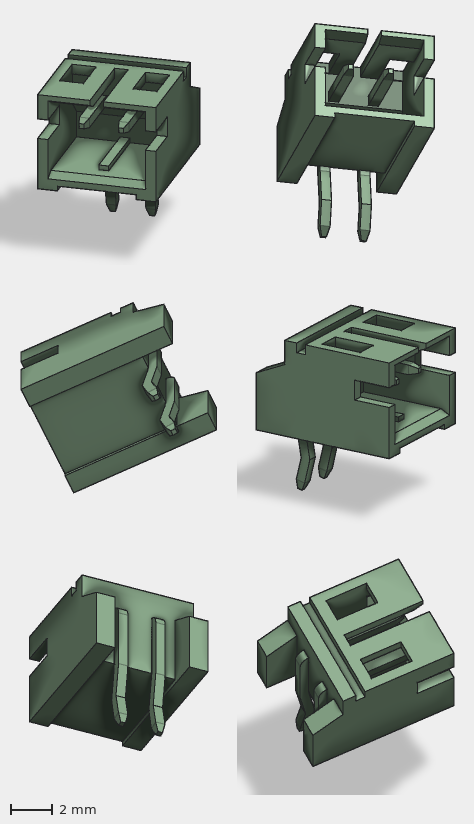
import cadquery as cq
import math


width = 6.0
depth = 7.7
total_height = 8.38
body_height = 4.96
pin_drop = total_height - body_height

back_face = 6.05
side_wall = 0.53
roof_wall = 0.52
floor_top = 0.84
lip_length = 0.5
lip_height = 0.25

upper_wall_y = 4.31
wall_step = 0.67
ramp_top = 2.86

leg_width = 1.0
leg_top_front = 3.7
leg_top_rear = 2.96
recess_height = 0.25

notch_depth = 1.995
notch_bottom = 2.66
notch_top = 3.68
groove_front = 4.85
groove_size = 0.5
key_slot_width = 0.68
window_front = 2.02
window_back = 4.22
window_width = 1.215
rib_width = 0.5
rib_height = 0.25
rib_front = 1.22

pin_pitch = 2.0
pin_size = 0.5
pin_level = 3.22
tip_length = 0.5
tip_size = 0.25
pin_front = 0.79
pin_inner_y = 6.0
kink_shift = 0.29
kink_drop = 1.69
lower_tilt = math.radians(13.5)


def box(x_size, y_start, y_end, z_start, z_end, x_center=0):
    """Block centred on x_center and spanning the given Y and Z ranges."""
    size = (x_size, y_end - y_start, z_end - z_start)
    return cq.Workplane("XY").box(*size, centered=(True, False, False)).translate((x_center, y_start, z_start))


def side_profile(points, x_size):
    """Extrude a closed (Y, Z) outline symmetrically about X = 0."""
    return cq.Workplane("YZ").polyline(points).close().extrude(x_size / 2, both=True)


def make_block():
    """Main block with its two sloped-top rear legs and the recess underneath."""
    outline = [
        (0, 0),
        (depth, 0),
        (depth, leg_top_rear),
        (back_face, leg_top_front),
        (back_face, body_height),
        (0, body_height),
    ]
    span = width - 2 * leg_width
    block = side_profile(outline, width)
    block = block.cut(box(span, back_face, depth, 0, body_height))
    return block.cut(box(span, 0, depth, 0, recess_height))


def make_cavity():
    """Mating cavity with a bevelled mouth and a stepped back wall."""
    ceiling = body_height - roof_wall
    lower_wall_y = upper_wall_y + wall_step
    outline = [
        (0, floor_top - lip_height),
        (lip_length, floor_top),
        (lower_wall_y, floor_top),
        (lower_wall_y, ramp_top - wall_step),
        (upper_wall_y, ramp_top),
        (upper_wall_y, ceiling),
        (lip_length, ceiling),
        (0, ceiling + lip_height),
    ]
    return side_profile(outline, width - 2 * side_wall)


def make_housing(pins):
    housing = make_block().cut(make_cavity())

    housing = housing.cut(box(width, 0, notch_depth, notch_bottom, notch_top))

    housing = housing.cut(
        box(width, groove_front, groove_front + groove_size, body_height - groove_size, body_height)
    )

    housing = housing.cut(box(key_slot_width, 0, upper_wall_y, body_height - roof_wall, body_height))

    window_x = width / 2 - side_wall - window_width / 2
    for x in (-window_x, window_x):
        housing = housing.cut(
            box(window_width, window_front, window_back, body_height - roof_wall, body_height, x)
        )

    housing = housing.union(
        box(rib_width, rib_front, upper_wall_y + wall_step, floor_top, floor_top + rib_height)
    )

    for pin in pins:
        housing = housing.cut(pin)
    return housing


def make_tip(base_center, direction):
    """Square tip tapering from base_center along direction, a (Y, Z) unit vector."""
    plane = cq.Plane(origin=(0, *base_center), xDir=(1, 0, 0), normal=(0, *direction))
    return (
        cq.Workplane(plane)
        .rect(pin_size, pin_size)
        .workplane(offset=tip_length)
        .rect(tip_size, tip_size)
        .loft()
    )


def make_pin(x):
    """Bent pin: horizontal arm, rounded bend, kinked leg and a tapered tip at each end."""
    half = pin_size / 2
    arm_front = pin_front + tip_length
    arm_bottom = pin_level - half
    arm_top = pin_level + half
    outer_y = pin_inner_y + pin_size
    kink_y = pin_inner_y - kink_shift
    sin_tilt = math.sin(lower_tilt)
    cos_tilt = math.cos(lower_tilt)

    tip_end_z = -pin_drop + tip_size / 2 * sin_tilt
    leg_end_z = tip_end_z + tip_length * cos_tilt
    leg_end_y = kink_y + half + (-kink_drop - leg_end_z) * math.tan(lower_tilt)

    bend_middle = (
        pin_inner_y + pin_size * math.sin(math.pi / 4),
        arm_bottom + pin_size * math.cos(math.pi / 4),
    )
    stem = (
        cq.Workplane("YZ")
        .moveTo(arm_front, arm_bottom)
        .lineTo(arm_front, arm_top)
        .lineTo(pin_inner_y, arm_top)
        .threePointArc(bend_middle, (outer_y, arm_bottom))
        .lineTo(outer_y, 0)
        .lineTo(kink_y + pin_size, -kink_drop)
        .lineTo(leg_end_y + half * cos_tilt, leg_end_z + half * sin_tilt)
        .lineTo(leg_end_y - half * cos_tilt, leg_end_z - half * sin_tilt)
        .lineTo(kink_y, -kink_drop)
        .lineTo(pin_inner_y, 0)
        .lineTo(pin_inner_y, arm_bottom)
        .close()
        .extrude(half, both=True)
    )
    front_tip = make_tip((arm_front, pin_level), (-1, 0))
    lower_tip = make_tip((leg_end_y, leg_end_z), (sin_tilt, -cos_tilt))
    return stem.union(front_tip).union(lower_tip).translate((x, 0, 0))


pins = [make_pin(x) for x in (-pin_pitch / 2, pin_pitch / 2)]
housing = make_housing(pins)

result = cq.Compound.makeCompound([body.solids().val() for body in (housing, *pins)])